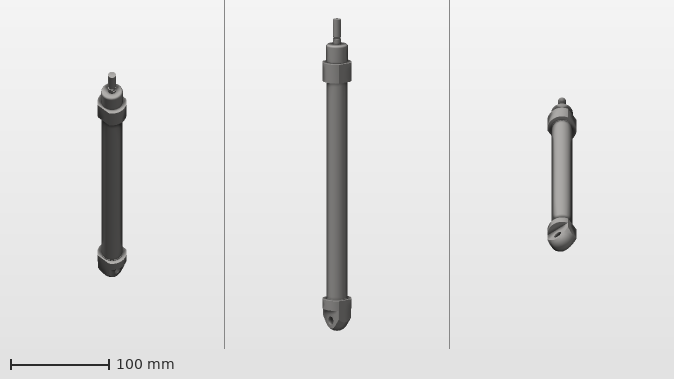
import cadquery as cq
import math

TOTAL_HEIGHT = 325.8

BLOCK_DIAMETER = 30.0
BLOCK_ACROSS_FLATS = 25.7
TONGUE_WIDTH = 16.0
REAR_BLOCK_BOTTOM = 23.8
REAR_BLOCK_TOP = 34.0
FRONT_BLOCK_BOTTOM = 261.5
FRONT_BLOCK_TOP = 281.2
TUBE_DIAMETER = 21.2
COLLAR_DIAMETER = 22.0
COLLAR_HEIGHT = 1.0
NOSE_TOP = 299.7
NOSE_FILLET = 2.0
UNDERCUT_DIAMETER = 20.0
UNDERCUT_HEIGHT = 1.0

TIP_RADIUS = 11.5
CONE_SLOPE = math.radians(60)
PIVOT_DIAMETER = 8.5
PIVOT_HEIGHT = 11.5

ROD_DIAMETER = 8.0
RELIEF_DIAMETER = 6.5
RELIEF_TOP = 308.0
RELIEF_BOTTOM = 305.5
ROD_ACROSS_FLATS = 6.5
ROD_FLATS_BOTTOM = 302.7
ROD_BOTTOM = FRONT_BLOCK_BOTTOM


def cylinder(diameter, bottom, top):
    return cq.Workplane("XY").workplane(offset=bottom).circle(diameter / 2).extrude(top - bottom)


def slab(x_size, y_size, bottom, top):
    """Box centred on the Z axis between two heights."""
    return cq.Workplane("XY").workplane(offset=bottom).rect(x_size, y_size).extrude(top - bottom)


def flatted_block(bottom, top):
    """Round block with two flats facing -Y and +Y."""
    flats = slab(BLOCK_DIAMETER, BLOCK_ACROSS_FLATS, bottom, top)
    return cylinder(BLOCK_DIAMETER, bottom, top).intersect(flats)


def turned_tongue():
    """Revolved rounded cone, trimmed to a flat-sided tongue with a pivot hole."""
    block_radius = BLOCK_DIAMETER / 2
    blend_radius = TIP_RADIUS * math.sin(CONE_SLOPE)
    blend_height = TIP_RADIUS * (1 - math.cos(CONE_SLOPE))
    mid_radius = TIP_RADIUS * math.sin(CONE_SLOPE / 2)
    mid_height = TIP_RADIUS * (1 - math.cos(CONE_SLOPE / 2))
    cone_top = blend_height + (block_radius - blend_radius) * math.tan(CONE_SLOPE)
    turned = (
        cq.Workplane("XZ")
        .moveTo(0, 0)
        .threePointArc((mid_radius, mid_height), (blend_radius, blend_height))
        .lineTo(block_radius, cone_top)
        .lineTo(block_radius, REAR_BLOCK_BOTTOM)
        .lineTo(0, REAR_BLOCK_BOTTOM)
        .close()
        .revolve(360, (0, 0), (0, 1))
    )
    tongue = turned.intersect(slab(TONGUE_WIDTH, BLOCK_ACROSS_FLATS, 0, REAR_BLOCK_BOTTOM))
    pivot_hole = (
        cq.Workplane("YZ")
        .center(0, PIVOT_HEIGHT)
        .circle(PIVOT_DIAMETER / 2)
        .extrude(BLOCK_DIAMETER, both=True)
    )
    return tongue.cut(pivot_hole)


def nose():
    """Round nose above the front block, with a rounded rim and a narrow undercut at its foot."""
    undercut_top = FRONT_BLOCK_TOP + UNDERCUT_HEIGHT
    undercut = cylinder(UNDERCUT_DIAMETER, FRONT_BLOCK_TOP, undercut_top)
    body = cylinder(COLLAR_DIAMETER, undercut_top, NOSE_TOP)
    return undercut.union(body.faces(">Z").edges().fillet(NOSE_FILLET))


def make_housing():
    rear_collar = cylinder(COLLAR_DIAMETER, REAR_BLOCK_TOP, REAR_BLOCK_TOP + COLLAR_HEIGHT)
    front_collar = cylinder(COLLAR_DIAMETER, FRONT_BLOCK_BOTTOM - COLLAR_HEIGHT, FRONT_BLOCK_BOTTOM)
    rod_bore = cylinder(ROD_DIAMETER, ROD_BOTTOM, NOSE_TOP)
    return (
        turned_tongue()
        .union(flatted_block(REAR_BLOCK_BOTTOM, REAR_BLOCK_TOP))
        .union(rear_collar)
        .union(cylinder(TUBE_DIAMETER, REAR_BLOCK_TOP, FRONT_BLOCK_BOTTOM))
        .union(front_collar)
        .union(flatted_block(FRONT_BLOCK_BOTTOM, FRONT_BLOCK_TOP))
        .union(nose())
        .cut(rod_bore)
    )


def relief_cone():
    """Tapered thread relief, narrowing downwards from the rod diameter."""
    return (
        cq.Workplane("XY")
        .workplane(offset=RELIEF_BOTTOM)
        .circle(RELIEF_DIAMETER / 2)
        .workplane(offset=RELIEF_TOP - RELIEF_BOTTOM)
        .circle(ROD_DIAMETER / 2)
        .loft()
    )


def make_piston_rod():
    """Rod with a tapered thread relief and two wrench flats facing -X and +X."""
    lower = cylinder(ROD_DIAMETER, ROD_BOTTOM, ROD_FLATS_BOTTOM)
    flatted = cylinder(ROD_DIAMETER, ROD_FLATS_BOTTOM, RELIEF_BOTTOM).intersect(
        slab(ROD_ACROSS_FLATS, ROD_DIAMETER, ROD_FLATS_BOTTOM, RELIEF_BOTTOM)
    )
    threaded_end = cylinder(ROD_DIAMETER, RELIEF_TOP, TOTAL_HEIGHT)
    return lower.union(flatted).union(relief_cone()).union(threaded_end)


housing = make_housing()
piston_rod = make_piston_rod()

result = cq.Compound.makeCompound([housing.val(), piston_rod.val()])